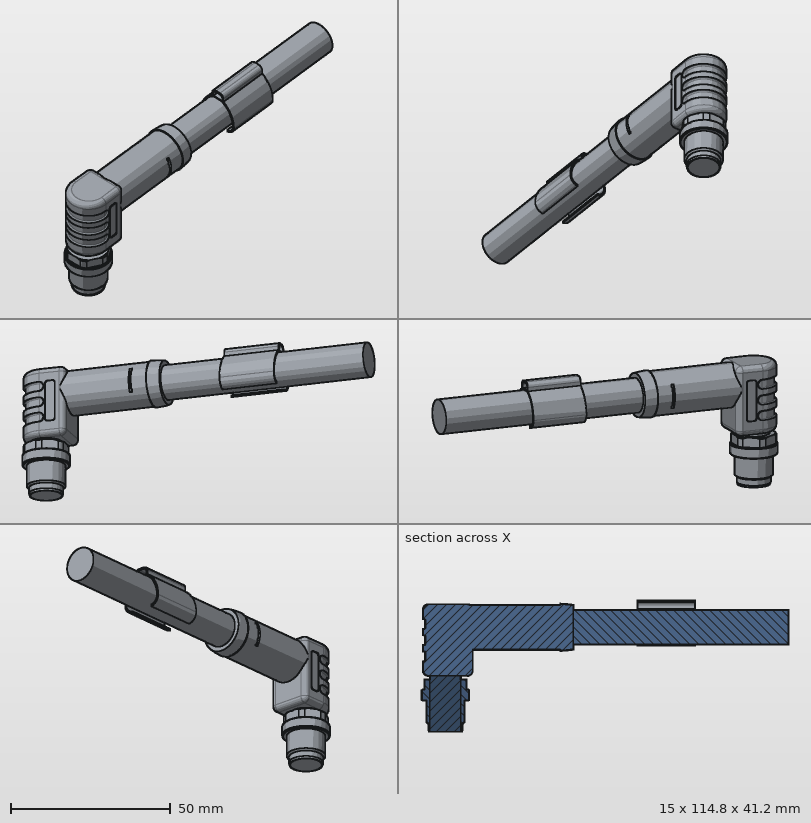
import cadquery as cq

sleeve_radius = 7.1
sleeve_end_y = 40.1
collar_start_y = 35.8
collar_radius = 7.5
collar_middle_radius = 7.3
collar_end_radius = 7.0
sleeve_slot_y = 30.3
sleeve_slot_width = 0.8
sleeve_slot_height = 7.7
sleeve_slot_floor_x = 5.9

nose_radius = 7.2
nose_center_y = 0.1
elbow_back_half_width = sleeve_radius
elbow_back_y = 8.6
elbow_top_z = 7.2
elbow_bottom_z = -15.3
elbow_fillet = 1.8

groove_width = 3.0
groove_depth = 0.7
groove_floor_fillet = 0.3
groove_pitch = 5.0
groove_count = 3
top_groove_z = 1.0
label_y = 3.8
label_width = 3.2
label_top_z = 2.6
label_bottom_z = -10.6
label_floor_x = 6.9
label_corner_radius = 0.8

nut_top_z = -16.3
flange_top_z = -19.4
flange_bottom_z = -23.0
thread_end_z = -29.6
thread_chamfer_height = 0.6
nut_bottom_z = -32.7
hex_across_flats = 13.2
hex_corner_radius = 7.1
hex_corner_chamfer = 0.3
flange_diameter = 15.0
flange_radius = flange_diameter / 2
flange_chamfer = 0.3
thread_radius = 6.1
pilot_radius = 5.4
pilot_chamfer_height = 0.7
pilot_chamfer_depth = 0.2
carrier_radius = 4.9

cable_radius = 5.5
overall_length = 114.8
cable_end_y = overall_length - flange_radius

clip_start_y = 60.0
clip_length = 18.0
clip_thickness = 0.6
clip_top_z = 8.5
tube_flat_half_width = 0.8
tube_half_width = 2.4
tube_shoulder_z = 7.1
tube_foot_z = 5.7
tube_floor_thickness = 0.3
clip_half_width = 6.9
clip_side_end_z = -2.5
clip_bottom_z = -5.7
clip_opening_width = 7.8


def elbow_plan(offset, z):
    """Plan of the elbow, grown by an offset: round nose, sides narrowing towards a straight back."""
    radius = nose_radius + offset
    back_half_width = elbow_back_half_width + offset
    return (
        cq.Workplane("XY", origin=(0, 0, z))
        .moveTo(-back_half_width, elbow_back_y)
        .lineTo(-radius, nose_center_y)
        .threePointArc((0, nose_center_y - radius), (radius, nose_center_y))
        .lineTo(back_half_width, elbow_back_y)
        .close()
    )


def elbow_block():
    block = elbow_plan(0, elbow_bottom_z).extrude(elbow_top_z - elbow_bottom_z)
    block = block.edges("|Z and >Y").fillet(elbow_fillet)
    return block.faces("<Z or >Z").edges().fillet(elbow_fillet)


def cable_sleeve():
    collar_middle_y = (collar_start_y + sleeve_end_y) / 2
    return (
        cq.Workplane("XY")
        .lineTo(sleeve_radius, 0)
        .lineTo(sleeve_radius, collar_start_y)
        .lineTo(collar_radius, collar_start_y)
        .threePointArc((collar_middle_radius, collar_middle_y), (collar_end_radius, sleeve_end_y))
        .lineTo(0, sleeve_end_y)
        .close()
        .revolve(360, (0, 0, 0), (0, 1, 0))
    )


def side_pocket(y, z, width, height, floor_x, corner_radius=0):
    """Cutters for one rectangular pocket on each X side, down to the floor at +-floor_x."""
    depth = collar_radius
    pockets = (
        cq.Workplane("XY")
        .pushPoints([(side * (floor_x + depth / 2), y) for side in (-1, 1)])
        .box(depth, width, height)
        .translate((0, 0, z))
    )
    if corner_radius:
        pockets = pockets.edges("|X").fillet(corner_radius)
    return pockets


def grip_groove(z):
    """Cutter for a groove around the nose, with half-round ends on both sides and a filleted floor."""
    overshoot = 1.1
    reach = 2 * nose_radius
    bottom_z = z - groove_width / 2
    ring = elbow_plan(overshoot, bottom_z).extrude(groove_width)
    ring = ring.cut(elbow_plan(-groove_depth, bottom_z).extrude(groove_width))
    front = cq.Workplane("XY", origin=(0, nose_center_y - reach / 2, z)).box(2 * reach, reach, groove_width)
    ends = cq.Workplane("YZ", origin=(0, nose_center_y, z)).circle(groove_width / 2).extrude(reach, both=True)
    groove = ring.intersect(front.union(ends))
    floor_reach = nose_radius - groove_depth / 2
    floor_zone = cq.selectors.BoxSelector(
        (-floor_reach, nose_center_y - floor_reach, bottom_z - overshoot),
        (floor_reach, elbow_back_y, bottom_z + groove_width + overshoot),
        boundingbox=True,
    )
    return groove.edges(floor_zone).edges("not(|Z)").fillet(groove_floor_fillet)


def make_housing():
    housing = elbow_block().union(cable_sleeve())
    housing = housing.cut(
        side_pocket(sleeve_slot_y, 0, sleeve_slot_width, sleeve_slot_height, sleeve_slot_floor_x)
    )
    label_z = (label_top_z + label_bottom_z) / 2
    label_height = label_top_z - label_bottom_z
    housing = housing.cut(
        side_pocket(label_y, label_z, label_width, label_height, label_floor_x, label_corner_radius)
    )
    for i in range(groove_count):
        housing = housing.cut(grip_groove(top_groove_z - i * groove_pitch))
    return housing


def disc(radius, bottom_z, top_z):
    """Cylinder on the plug axis."""
    return cq.Workplane("XY", origin=(0, 0, bottom_z)).circle(radius).extrude(top_z - bottom_z)


def make_nut():
    hexagon = (
        cq.Workplane("XY", origin=(0, 0, flange_top_z))
        .polygon(6, hex_across_flats, circumscribed=True)
        .extrude(nut_top_z - flange_top_z)
        .rotate((0, 0, 0), (0, 0, 1), 30)
    )
    corner_limit = disc(hex_corner_radius, flange_top_z, nut_top_z).faces(">Z").chamfer(hex_corner_chamfer)
    flange = disc(flange_radius, flange_bottom_z, flange_top_z).edges().chamfer(flange_chamfer)
    thread = (
        disc(thread_radius, thread_end_z - thread_chamfer_height, flange_bottom_z)
        .faces("<Z")
        .chamfer(thread_chamfer_height, thread_radius - pilot_radius)
    )
    pilot = (
        disc(pilot_radius, nut_bottom_z, thread_end_z)
        .faces("<Z")
        .edges()
        .chamfer(pilot_chamfer_height, pilot_chamfer_depth)
    )
    nut = hexagon.intersect(corner_limit).union(flange).union(thread).union(pilot)
    return nut.cut(disc(carrier_radius, nut_bottom_z, nut_top_z))


def make_carrier():
    return disc(carrier_radius, nut_bottom_z, elbow_bottom_z)


def make_cable():
    return (
        cq.Workplane("XZ", origin=(0, cable_end_y, 0))
        .circle(cable_radius)
        .extrude(cable_end_y - sleeve_end_y)
    )


def tangent_radius(along, across):
    """Radius of an arc that leaves its tangent by a distance across, over a distance along it."""
    return (along**2 + across**2) / (2 * across)


def clip_outline():
    """Closed outer section of the clip: flat tube on top, bowed sides, curled lower edges."""
    side_radius = tangent_radius(tube_foot_z - clip_side_end_z, clip_half_width - tube_half_width)
    shoulder_radius = tangent_radius(tube_half_width - tube_flat_half_width, clip_top_z - tube_shoulder_z)
    curl_radius = clip_side_end_z - clip_bottom_z
    return (
        cq.Workplane("XZ", origin=(0, clip_start_y + clip_length, 0))
        .moveTo(-tube_flat_half_width, clip_top_z)
        .lineTo(tube_flat_half_width, clip_top_z)
        .radiusArc((tube_half_width, tube_shoulder_z), shoulder_radius)
        .lineTo(tube_half_width, tube_foot_z)
        .radiusArc((clip_half_width, clip_side_end_z), side_radius)
        .radiusArc((clip_half_width - curl_radius, clip_bottom_z), curl_radius)
        .lineTo(-clip_half_width + curl_radius, clip_bottom_z)
        .radiusArc((-clip_half_width, clip_side_end_z), curl_radius)
        .radiusArc((-tube_half_width, tube_foot_z), side_radius)
        .lineTo(-tube_half_width, tube_shoulder_z)
        .radiusArc((-tube_flat_half_width, clip_top_z), shoulder_radius)
        .close()
    )


def make_clip():
    shell = clip_outline().extrude(clip_length)
    shell = shell.cut(clip_outline().offset2D(-clip_thickness).extrude(clip_length))
    middle_y = clip_start_y + clip_length / 2
    opening_height = 4 * clip_thickness
    opening = cq.Workplane("XY", origin=(0, middle_y, clip_bottom_z)).box(
        clip_opening_width, clip_length, opening_height
    )
    floor_z = cable_radius + tube_floor_thickness / 2
    floor = cq.Workplane("XY", origin=(0, middle_y, floor_z)).box(
        2 * tube_half_width, clip_length, tube_floor_thickness
    )
    return shell.cut(opening).union(floor).cut(make_cable())


housing = make_housing()
nut = make_nut()
carrier = make_carrier()
cable = make_cable()
clip = make_clip()

result = cq.Compound.makeCompound(
    [housing.val(), nut.val(), carrier.val(), cable.val(), clip.val()]
)